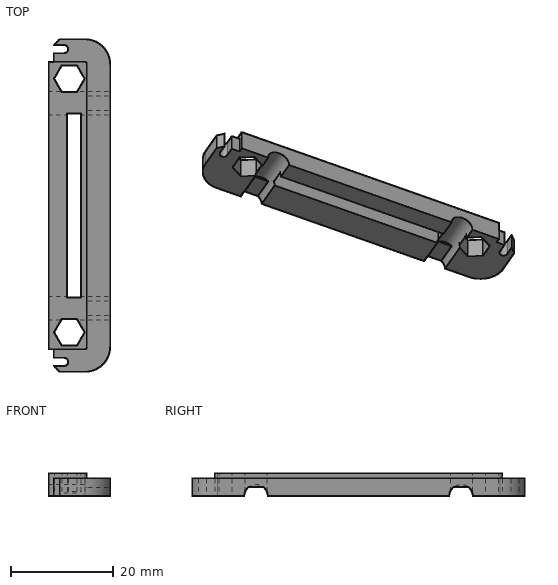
import cadquery as cq
import math

length = 65.0
width = 12.0
height = 4.5
plate_height = 3.5
corner_radius = 4.95

pad_length = 56.15
pad_width = 7.5
pad_corner_radius = 0.45
end_setback = 1.0
tip_chamfer = 1.2

clip_slot_width = 1.55
clip_slot_depth = 2.8
clip_slot_y = length / 2 - tip_chamfer - clip_slot_width / 2

hex_across_flats = 5.15
hex_x = 4.0
hex_y = 24.75

window_width = 2.7
window_length = 35.9
window_x = 4.95

groove_radius = 2.3
groove_y = 20.0
groove_flat_height = 1.75
groove_mouth_depth = pad_width


def make_plate():
    """Plate outline with stepped, chamfered tips and rounded +X corners."""
    half = length / 2
    pad_half = pad_length / 2
    plate = (
        cq.Workplane("XY")
        .moveTo(0, -pad_half)
        .lineTo(end_setback, -pad_half)
        .lineTo(end_setback, tip_chamfer - half)
        .lineTo(end_setback + tip_chamfer, -half)
        .lineTo(width, -half)
        .lineTo(width, half)
        .lineTo(end_setback + tip_chamfer, half)
        .lineTo(end_setback, half - tip_chamfer)
        .lineTo(end_setback, pad_half)
        .lineTo(0, pad_half)
        .close()
        .extrude(plate_height)
    )
    return plate.edges("|Z and >X").fillet(corner_radius)


def make_pad():
    """Raised pad with lightly rounded +X corners."""
    pad = cq.Workplane("XY").box(pad_width, pad_length, height, centered=(False, True, False))
    return pad.edges("|Z and >X").fillet(pad_corner_radius)


def make_clip_slot(y):
    """Slot open toward -X with a round inner end."""
    radius = clip_slot_width / 2
    round_center_x = end_setback + clip_slot_depth - radius
    channel = (
        cq.Workplane("XY")
        .center(0, y)
        .box(round_center_x, clip_slot_width, plate_height, centered=(False, True, False))
    )
    round_end = cq.Workplane("XY").center(round_center_x, y).circle(radius).extrude(plate_height)
    return channel.union(round_end)


def make_hex_hole(y):
    corner_diameter = hex_across_flats / math.cos(math.pi / 6)
    return cq.Workplane("XY").center(hex_x, y).polygon(6, corner_diameter).extrude(height)


def make_window():
    return (
        cq.Workplane("XY")
        .center(window_x, 0)
        .rect(window_width, window_length)
        .extrude(height)
    )


def make_groove(y):
    """Round groove along X whose roof is lowered to a flat beyond the mouth."""
    bore = cq.Workplane("YZ").center(y, 0).circle(groove_radius).extrude(width)
    roof = (
        cq.Workplane("XY", origin=(groove_mouth_depth, y, groove_flat_height))
        .box(width, 2 * groove_radius, groove_radius, centered=(False, True, False))
    )
    return bore.cut(roof)


result = make_plate().union(make_pad()).cut(make_window())
for side in (-1, 1):
    result = result.cut(make_clip_slot(side * clip_slot_y))
    result = result.cut(make_hex_hole(side * hex_y))
    result = result.cut(make_groove(side * groove_y))